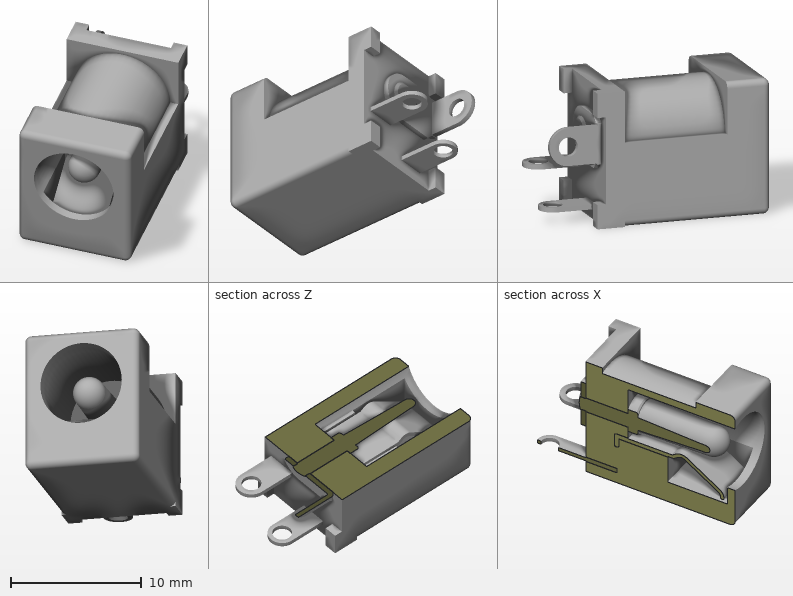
import cadquery as cq
import math

WIDTH = 9.0
HEIGHT = 10.7
FRONT_BLOCK_LENGTH = 3.5
FLANGE_FRONT = 11.8
RECESS_FLOOR = 13.3
HOUSING_REAR = 14.0
SHOULDER_HEIGHT = 6.6
EDGE_RADIUS = 0.5

POST_WIDTH = 1.1
RECESS_BOTTOM = 1.9
RECESS_TOP = 8.8

AXIS_HEIGHT = 6.5
BARREL_RADIUS = 3.85
BORE_RADIUS = 3.2
BORE_DEPTH = 9.5

SLOT_FRONT = 0.7
SLOT_REAR = 5.98
SLOT_WIDTH = 5.39
SLOT_TOP = AXIS_HEIGHT - 1.76
SLOT_FLOOR = 1.94
GROOVE_WIDTH = 4.79

SHEET = 0.35
SPRING_WIDTH = 4.36
RAMP_ANGLE = 33.0
RAMP_START_Y = 1.39
RAMP_START_Z = AXIS_HEIGHT - 3.43
RAMP_RUN = 2.92
SPRING_BEND_RADIUS = 0.88
SPRING_REAR = 10.56

TERMINAL_TIP = 17.6
HOLE_DIAMETER = 1.51
SPRING_BLADE_X = 2.5
SPRING_BLADE_Z = 3.52
SPRING_BLADE_WIDTH = 2.45
SWITCH_BLADE_X = -1.2
SWITCH_BLADE_Z = 1.02
SWITCH_BLADE_WIDTH = 2.24

PLATE_SHEET = 0.42
PLATE_RADIUS = 2.1
PLATE_CHAMFER_X = -2.8
TAB_OUTER_X = -3.73
BEND_WIDTH = 3.2
TAB_WIDTH = 3.0
BEND_RADIUS = 0.4

PIN_DOME_RADIUS = 1.25
PIN_DOME_CENTRE = 2.59
PIN_RADIUS = 1.35
PIN_REAR = 13.94
PIN_REAR_RADIUS = 1.15
PIN_REAR_CHAMFER = 0.14
COLLAR_RADIUS = 1.62
COLLAR_CHAMFER = 0.12
COLLAR_LENGTH = 0.88


def box(x_min, x_max, y_min, y_max, z_min, z_max):
    """Block between two opposite corners."""
    size = (x_max - x_min, y_max - y_min, z_max - z_min)
    return cq.Workplane("XY").box(*size, centered=False).translate((x_min, y_min, z_min))


def centred_box(width, y_min, y_max, z_min, z_max):
    """Block centred on X = 0."""
    return box(-width / 2, width / 2, y_min, y_max, z_min, z_max)


def rod(radius, y_min, y_max):
    """Cylinder on the bore axis."""
    plane = cq.Workplane("XZ", origin=(0, y_min, AXIS_HEIGHT))
    return plane.circle(radius).extrude(y_min - y_max)


def lug(width, root, sheet):
    """Blade along +Y with a round, drilled end at the terminal tip; it lies on Z = 0."""
    radius = width / 2
    end_centre = TERMINAL_TIP - radius
    return (
        cq.Workplane("XY")
        .moveTo(-radius, root)
        .lineTo(-radius, end_centre)
        .threePointArc((0, TERMINAL_TIP), (radius, end_centre))
        .lineTo(radius, root)
        .close()
        .moveTo(0, end_centre)
        .circle(HOLE_DIAMETER / 2)
        .extrude(sheet)
    )


def make_pin():
    """Turned pin with a domed tip, slightly tapered shaft, base collar and chamfered rear end."""
    collar_front = BORE_DEPTH - COLLAR_LENGTH
    dome_middle = PIN_DOME_RADIUS * math.sqrt(0.5)
    profile = (
        cq.Workplane("XY")
        .moveTo(0, PIN_DOME_CENTRE - PIN_DOME_RADIUS)
        .threePointArc((dome_middle, PIN_DOME_CENTRE - dome_middle), (PIN_DOME_RADIUS, PIN_DOME_CENTRE))
        .lineTo(PIN_RADIUS, collar_front)
        .lineTo(COLLAR_RADIUS - COLLAR_CHAMFER, collar_front)
        .lineTo(COLLAR_RADIUS, collar_front + COLLAR_CHAMFER)
        .lineTo(COLLAR_RADIUS, BORE_DEPTH)
        .lineTo(PIN_RADIUS, BORE_DEPTH)
        .lineTo(PIN_RADIUS, PIN_REAR - PIN_REAR_CHAMFER)
        .lineTo(PIN_REAR_RADIUS, PIN_REAR)
        .lineTo(0, PIN_REAR)
        .close()
    )
    return profile.revolve(360, (0, 0, 0), (0, 1, 0)).translate((0, 0, AXIS_HEIGHT))


def make_side_terminal():
    """Round plate under the pin's rear end, tapering into a bent-up vertical tab."""
    half_bend = BEND_WIDTH / 2
    chamfer_end_x = PLATE_CHAMFER_X - (PLATE_RADIUS - half_bend)
    plate = (
        cq.Workplane("XZ", origin=(0, RECESS_FLOOR, AXIS_HEIGHT))
        .moveTo(0, PLATE_RADIUS)
        .threePointArc((PLATE_RADIUS, 0), (0, -PLATE_RADIUS))
        .lineTo(PLATE_CHAMFER_X, -PLATE_RADIUS)
        .lineTo(chamfer_end_x, -half_bend)
        .lineTo(TAB_OUTER_X, -half_bend)
        .lineTo(TAB_OUTER_X, half_bend)
        .lineTo(chamfer_end_x, half_bend)
        .lineTo(PLATE_CHAMFER_X, PLATE_RADIUS)
        .close()
        .extrude(-PLATE_SHEET)
    )
    tab = lug(TAB_WIDTH, RECESS_FLOOR, PLATE_SHEET).rotate((0, 0, 0), (0, 1, 0), 90)
    terminal = plate.union(tab.translate((TAB_OUTER_X, 0, AXIS_HEIGHT)))
    rounded_bend = box(TAB_OUTER_X, 2 * PLATE_RADIUS, RECESS_FLOOR, TERMINAL_TIP, 0, HEIGHT)
    rounded_bend = rounded_bend.edges("<X and <Y").fillet(BEND_RADIUS)
    pin_hole = rod(PIN_RADIUS, RECESS_FLOOR, RECESS_FLOOR + PLATE_SHEET)
    return terminal.intersect(rounded_bend).cut(pin_hole)


def make_spring_terminal():
    """Leaf spring: curled front end, ramp to a crest, flat in the groove, and solder blade."""
    half_sheet = SHEET / 2
    slope = math.radians(RAMP_ANGLE)
    sine, cosine = math.sin(slope), math.cos(slope)
    bend = SPRING_BEND_RADIUS - half_sheet

    ramp_start = (RAMP_START_Y + half_sheet * sine, RAMP_START_Z - half_sheet * cosine)
    curl_end = (ramp_start[0] - bend * (1 - sine), ramp_start[1] - bend * cosine)
    ramp_end = (ramp_start[0] + RAMP_RUN, ramp_start[1] + RAMP_RUN * math.tan(slope))
    crest_end = (ramp_end[0] + 2 * bend * sine, ramp_end[1])
    groove_level = SLOT_TOP - half_sheet
    fall_end = (crest_end[0] + (crest_end[1] - groove_level) / math.tan(slope), groove_level)
    leaf = (
        cq.Workplane("YZ", origin=(-SPRING_WIDTH / 2, 0, 0))
        .moveTo(*curl_end)
        .radiusArc(ramp_start, bend)
        .lineTo(*ramp_end)
        .radiusArc(crest_end, bend)
        .lineTo(*fall_end)
        .lineTo(SPRING_REAR, groove_level)
        .lineTo(SPRING_REAR, SPRING_BLADE_Z + half_sheet)
        .offset2D(half_sheet)
        .extrude(SPRING_WIDTH)
    )
    blade = lug(SPRING_BLADE_WIDTH, SPRING_REAR, SHEET)
    return leaf.union(blade.translate((SPRING_BLADE_X, 0, SPRING_BLADE_Z)))


def make_switch_terminal():
    """Straight blade low in the rear of the housing."""
    return lug(SWITCH_BLADE_WIDTH, SPRING_REAR, SHEET).translate((SWITCH_BLADE_X, 0, SWITCH_BLADE_Z))


def make_housing_shell():
    """Rounded front body with an exposed barrel, and a square rear flange with corner posts."""
    body = centred_box(WIDTH, 0, FLANGE_FRONT, 0, HEIGHT)
    body = body.edges("<Y or (|Y and <Z) or (|Y and >Z)").fillet(EDGE_RADIUS)
    body = body.cut(centred_box(WIDTH, FRONT_BLOCK_LENGTH, FLANGE_FRONT, SHOULDER_HEIGHT, HEIGHT))
    flange = centred_box(WIDTH, FLANGE_FRONT, HOUSING_REAR, 0, HEIGHT)
    flange = flange.cut(centred_box(WIDTH, RECESS_FLOOR, HOUSING_REAR, RECESS_BOTTOM, RECESS_TOP))
    flange = flange.cut(centred_box(WIDTH - 2 * POST_WIDTH, RECESS_FLOOR, HOUSING_REAR, 0, HEIGHT))
    return body.union(rod(BARREL_RADIUS, FRONT_BLOCK_LENGTH, FLANGE_FRONT)).union(flange)


def make_cavity():
    """Bore with a flat shelf at its rear, the spring slot, and the groove that holds the spring's flat."""
    bore = rod(BORE_RADIUS, 0, BORE_DEPTH)
    shelf = centred_box(2 * BORE_RADIUS, SLOT_REAR, BORE_DEPTH, 0, SLOT_TOP)
    slot = centred_box(SLOT_WIDTH, SLOT_FRONT, SLOT_REAR, SLOT_FLOOR, SLOT_TOP)
    groove = centred_box(GROOVE_WIDTH, SLOT_REAR, BORE_DEPTH, SLOT_TOP - SHEET, SLOT_TOP)
    return bore.cut(shelf).union(slot).union(groove)


pin = make_pin()
side_terminal = make_side_terminal()
spring_terminal = make_spring_terminal()
switch_terminal = make_switch_terminal()

housing = make_housing_shell().cut(make_cavity())
for fitted_body in (pin, side_terminal, spring_terminal, switch_terminal):
    housing = housing.cut(fitted_body)

result = cq.Compound.makeCompound(
    [
        housing.val(),
        pin.val(),
        side_terminal.val(),
        spring_terminal.val(),
        switch_terminal.val(),
    ]
)